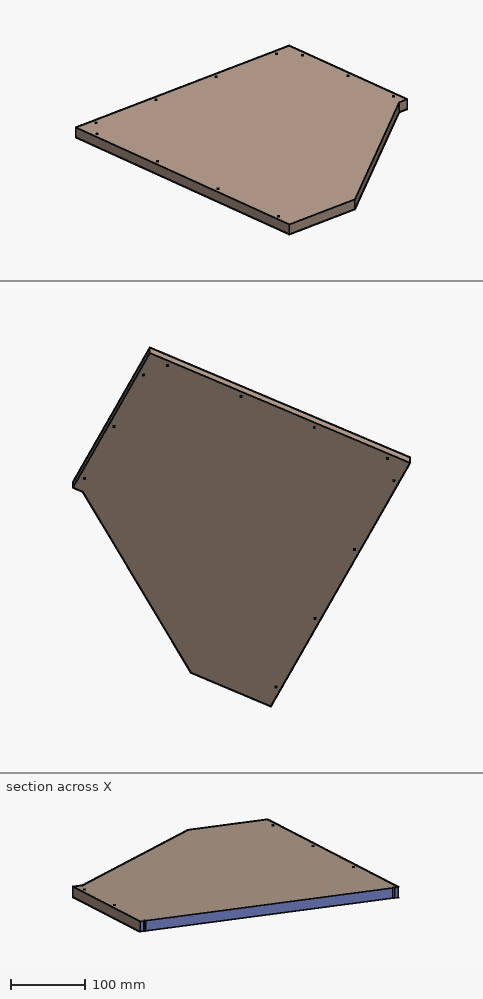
import cadquery as cq

length = 425.0
width = 390.0
thickness = 15.0
back_edge_length = 235.0
back_step_depth = 15.0
right_edge_length = 120.0

hole_diameter = 2.0
edge_inset = thickness / 2
left_end_margin = 35.0
front_end_margin = 30.0
back_end_margin = 20.0
left_hole_count = 4
front_hole_count = 4
back_hole_count = 3


def spaced(first, last, count):
    """Evenly spaced positions from first to last, both included."""
    step = (last - first) / (count - 1)
    return [first + i * step for i in range(count)]


def make_panel():
    """Flat panel with a slanted corner and a short step at the back edge."""
    outline = [
        (0, 0),
        (length, 0),
        (length, right_edge_length),
        (back_edge_length, width - back_step_depth),
        (back_edge_length, width),
        (0, width),
    ]
    return cq.Workplane("XY").polyline(outline).close().extrude(thickness)


def hole_centers():
    """Hole centers along the front, back and left edges."""
    front_x = spaced(left_end_margin, length - front_end_margin, front_hole_count)
    back_x = spaced(left_end_margin, back_edge_length - back_end_margin, back_hole_count)
    left_y = spaced(front_end_margin, width - front_end_margin, left_hole_count)
    front = [(x, edge_inset) for x in front_x]
    back = [(x, width - edge_inset) for x in back_x]
    left = [(edge_inset, y) for y in left_y]
    return front + back + left


holes = (
    cq.Workplane("XY")
    .pushPoints(hole_centers())
    .circle(hole_diameter / 2)
    .extrude(thickness)
)
result = make_panel().cut(holes)